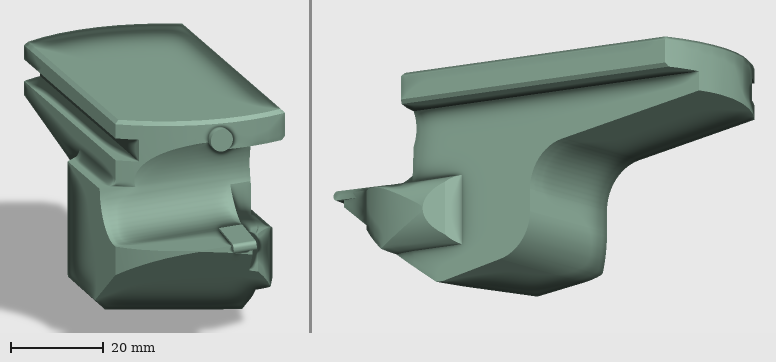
import cadquery as cq
import math

disc_radius = 38.5
disc_x = disc_radius
head_back = 16.2
head_front = -21.4
flange_thickness = 6.8
edge_chamfer = 0.8
slot_top = -4.0
slot_height = 4.9
slot_depth = 4.5

neck_z = -10.8
slope_angle = math.radians(10)
shank_x = 45.4
neck_radius = 10.2
heel_radius = 9.8
heel_z = -32.3
bottom_z = -45
bottom_angle = math.radians(11.5)

shank_back = 7.5
shank_front = -25.4
step_width = head_front - shank_front
step_z = -14.6
step_fillet = 1.4
front_chamfer_top = -40.5
tip_x = 99.5
tip_front = -4.8
tip_back = 0.3
blade_curve_mid = (92.7, -18.5)
blade_curve_end = (98.8, -11.3)
rear_corner = (91.0, 2.4)
rear_curve_start = (90.5, 4.1)
rear_curve_mid = (83.4, 6.5)
rear_curve_end_x = 76.1

relief_start_x = 68.5
relief_slope = 0.674
relief_side_slope = 0.17

margin = 122.8

groove_x = 82.7
groove_z = -24.6
groove_radius = 10.4
groove_direction = cq.Vector(0.11, 1, 0.107)
rake_direction = cq.Vector(1, -0.115, 0.04)
tool_plane = cq.Plane(
    origin=(groove_x, shank_front, groove_z),
    xDir=rake_direction,
    normal=rake_direction.cross(groove_direction),
)

ridge_offset = 28.2
ridge_start = -9.8
ridge_slope = 0.2
ridge_run = 15.3
ridge_height = 7.2

insert_start = 1.2
insert_end = 16.7
insert_width = 5.1
insert_offset = 25.4
insert_top = 0.7
insert_thickness = 2.0
insert_nose_radius = 0.9

boss_z = -29.9
boss_radius = 7.9
boss_crown_y = 13.4
boss_start = 63.4
boss_shoulder = (65.5, 10.8)
boss_crown_x = 69.6
boss_curve_mid = (83.4, 9.6)
boss_curve_end = (90.7, 4.4)
boss_root_x = 88

pin_diameter = 5.0
pin_z = -4.0
pin_end = 79.0


def block(x_min, x_max, y_min, y_max, z_min, z_max):
    """Axis-aligned box given by its limits."""
    size = (x_max - x_min, y_max - y_min, z_max - z_min)
    return cq.Workplane("XY").box(*size, centered=False).translate((x_min, y_min, z_min))


def trimmed_disc(y_min, y_max, z_min):
    """Part of the head disc between two Y limits, from z_min up to the top."""
    disc = cq.Workplane("XY").center(disc_x, 0).circle(disc_radius).extrude(z_min)
    return disc.intersect(block(0, 2 * disc_radius, y_min, y_max, z_min, 0))


def side_profile():
    """Side outline of head and shank, with the neck and heel rounded."""
    neck_start_x = shank_x - neck_radius * (1 - math.sin(slope_angle))
    neck_start_z = neck_z - neck_start_x * math.tan(slope_angle)
    neck_centre_z = neck_start_z - neck_radius * math.cos(slope_angle)
    neck_mid = math.radians(45) - slope_angle / 2
    heel_end_x = shank_x + heel_radius * (1 - math.sin(bottom_angle))
    heel_end_z = heel_z - heel_radius * math.cos(bottom_angle)
    heel_mid = math.radians(45) - bottom_angle / 2
    bottom_x = heel_end_x + (heel_end_z - bottom_z) / math.tan(bottom_angle)
    outline = (
        cq.Workplane("XZ")
        .moveTo(0, 0)
        .lineTo(0, neck_z)
        .lineTo(neck_start_x, neck_start_z)
        .threePointArc(
            (
                shank_x - neck_radius * (1 - math.cos(neck_mid)),
                neck_centre_z + neck_radius * math.sin(neck_mid),
            ),
            (shank_x, neck_centre_z),
        )
        .lineTo(shank_x, heel_z)
        .threePointArc(
            (
                shank_x + heel_radius * (1 - math.cos(heel_mid)),
                heel_z - heel_radius * math.sin(heel_mid),
            ),
            (heel_end_x, heel_end_z),
        )
        .lineTo(bottom_x, bottom_z)
        .lineTo(margin, bottom_z)
        .lineTo(margin, 0)
        .close()
    )
    return outline.extrude(margin, both=True)


def shank_column():
    """Plan outline of the shank and blade, below the step."""
    return (
        cq.Workplane("XY", origin=(0, 0, step_z))
        .moveTo(0, shank_back)
        .lineTo(0, head_front)
        .lineTo(shank_x, head_front)
        .lineTo(shank_x + step_width, shank_front)
        .lineTo(groove_x, shank_front)
        .threePointArc(blade_curve_mid, blade_curve_end)
        .lineTo(tip_x, tip_front)
        .lineTo(tip_x, tip_back)
        .lineTo(*rear_corner)
        .lineTo(*rear_curve_start)
        .threePointArc(rear_curve_mid, (rear_curve_end_x, shank_back))
        .close()
        .extrude(bottom_z - step_z)
    )


def head_flange():
    """Thin rear part of the head, bevelled along its lower rear edge."""
    flange = trimmed_disc(0, head_back, -flange_thickness)
    return flange.faces(">Y").edges("<Z").chamfer(edge_chamfer)


def step_cove():
    """Concave fillet strip where the front step meets the head."""
    end_x = disc_x + math.sqrt(disc_radius**2 - head_front**2)
    strip = (
        cq.Workplane("YZ", origin=(shank_x, 0, 0))
        .moveTo(head_front, step_z)
        .lineTo(head_front - step_fillet, step_z)
        .radiusArc((head_front, step_z + step_fillet), -step_fillet)
        .close()
        .extrude(end_x - shank_x)
    )
    return strip.cut(
        cq.Workplane("XY", origin=(0, 0, step_z))
        .polyline(
            [
                (shank_x, head_front),
                (shank_x + step_width, shank_front),
                (shank_x, shank_front),
            ]
        )
        .close()
        .extrude(step_fillet)
    )


def back_boss():
    """Rounded support rib, bounded in plan by an arc towards the blade tip."""
    rib = (
        cq.Workplane("YZ", origin=(boss_start, 0, 0))
        .center(boss_crown_y - boss_radius, boss_z)
        .circle(boss_radius)
        .extrude(margin)
    )
    plan = (
        cq.Workplane("XY")
        .moveTo(boss_start, 0)
        .lineTo(boss_start, shank_back)
        .lineTo(*boss_shoulder)
        .lineTo(boss_crown_x, boss_crown_y)
        .threePointArc(boss_curve_mid, boss_curve_end)
        .lineTo(*rear_corner)
        .lineTo(boss_root_x, 0)
        .close()
        .extrude(bottom_z)
    )
    return rib.intersect(plan)


def front_slot():
    """Straight slot along the front flat of the head."""
    return block(0, margin, head_front, head_front + slot_depth, slot_top - slot_height, slot_top)


def chip_groove():
    """Round groove running along the tool frame, open above the rake face."""
    return (
        cq.Workplane(cq.Plane(tool_plane.origin, tool_plane.xDir, -tool_plane.yDir))
        .moveTo(0, 0)
        .threePointArc((-groove_radius, groove_radius), (0, 2 * groove_radius))
        .lineTo(margin, 2 * groove_radius)
        .lineTo(margin, 0)
        .close()
        .extrude(margin, both=True)
    )


def rear_bevel():
    """Wedge that slopes the blade down behind the ridge of the rake face."""
    ridge_end = tool_plane.toWorldCoords((ridge_start, ridge_offset, 0))
    side_plane = cq.Plane(ridge_end, tool_plane.yDir, tool_plane.xDir)
    return (
        cq.Workplane(side_plane)
        .polyline([(0, 0), (ridge_run, -ridge_slope * ridge_run), (ridge_run, ridge_height), (0, ridge_height)])
        .close()
        .extrude(margin)
    )


def blade_relief():
    """Half-space below the slanted underside of the blade."""
    relief_plane = cq.Plane(
        origin=(relief_start_x, shank_front, front_chamfer_top),
        xDir=(1, 0, relief_slope),
        normal=(relief_slope, -relief_side_slope, -1),
    )
    return cq.Workplane(relief_plane).rect(2 * margin, 2 * margin).extrude(margin)


def front_bottom_bevel():
    """Wedge that bevels the lower front edge of the shank."""
    return (
        cq.Workplane("YZ")
        .polyline(
            [
                (shank_front, front_chamfer_top),
                (shank_front, front_chamfer_top - 2 * step_width),
                (shank_front + 2 * step_width, front_chamfer_top - 2 * step_width),
            ]
        )
        .close()
        .extrude(margin)
    )


def locating_pin():
    """Round pin standing out of the end of the head."""
    return (
        cq.Workplane("YZ", origin=(disc_x, 0, pin_z))
        .circle(pin_diameter / 2)
        .extrude(pin_end - disc_x)
    )


def make_insert():
    """Flat cutting insert with a rounded nose."""
    bar = (
        cq.Workplane(tool_plane)
        .center((insert_start + insert_end) / 2, insert_offset)
        .rect(insert_end - insert_start, insert_width)
        .extrude(insert_thickness)
        .translate(tool_plane.zDir * (insert_top - insert_thickness))
    )
    nose = cq.selectors.DirectionMinMaxSelector(tool_plane.xDir, True)
    along_width = cq.selectors.ParallelDirSelector(tool_plane.yDir)
    return bar.faces(nose).edges(along_width).fillet(insert_nose_radius)


def make_holder(insert):
    """Head, shank and blade in one piece, with a seat for the insert."""
    column = trimmed_disc(head_front, shank_back, step_z).union(shank_column())
    body = column.intersect(side_profile()).union(step_cove()).union(back_boss())
    body = body.cut(chip_groove()).cut(blade_relief()).cut(front_bottom_bevel())
    body = body.union(head_flange()).faces(">Z").edges().chamfer(edge_chamfer)
    return body.cut(front_slot()).cut(rear_bevel()).union(locating_pin()).cut(insert)


insert = make_insert()
holder = make_holder(insert)
result = cq.Compound.makeCompound([holder.val(), insert.val()])